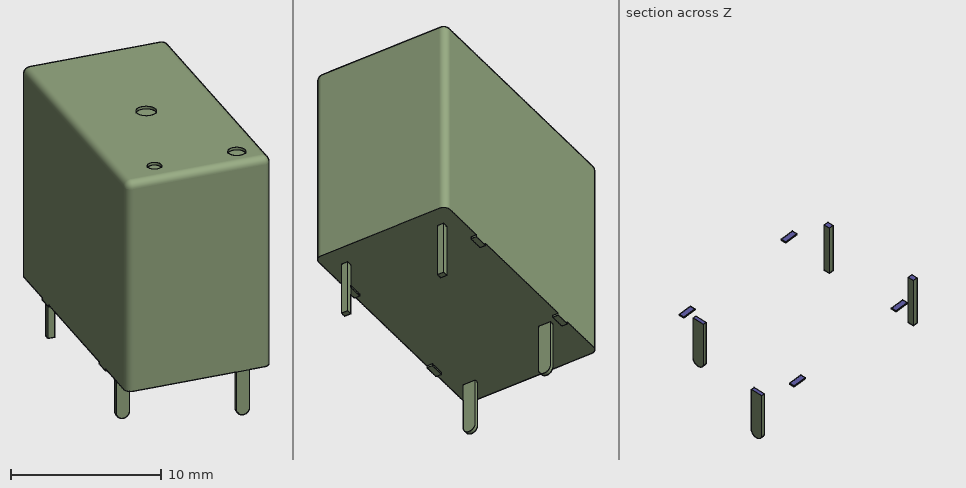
import cadquery as cq


total_height = 19.8
case_length = 18.6
case_width = 10.41
pin_length = 4.15
case_height = total_height - pin_length
edge_radius = 0.51

grid_pitch = 2.53
end_pin_x = 3 * grid_pitch
inner_pin_x = 2 * grid_pitch
pin_row_y = 1.5 * grid_pitch
coil_pin_thickness = 0.4
coil_pin_width = 0.5
blade_thickness = 0.3
blade_width = 0.95

foot_length = 1.13
foot_width = 0.44
foot_height = 0.15
foot_x = 5.0
foot_y = (case_width - foot_width) / 2

mark_depth = 0.2
top_marks = [
    (0, 0, 1.39),
    (7.7, 3.37, 1.2),
    (7.56, -2.5, 0.97),
]


def make_case():
    """Box with rounded upright and top edges and a sharp underside."""
    box = cq.Workplane("XY").box(case_length, case_width, case_height, centered=(True, True, False))
    return box.edges("|Z or >Z").fillet(edge_radius)


def make_mark(x, y, diameter):
    """Cylinder that cuts one blind recess into the top face."""
    top_plane = cq.Workplane("XY", origin=(x, y, case_height))
    return top_plane.circle(diameter / 2).extrude(-mark_depth)


def make_foot(x, y):
    """Low rectangular pad below the case."""
    return cq.Workplane("XY", origin=(x, y, 0)).rect(foot_length, foot_width).extrude(-foot_height)


def make_coil_pin(x, y):
    """Rectangular pin with a flat tip."""
    section = cq.Workplane("XY", origin=(x, y, 0)).rect(coil_pin_thickness, coil_pin_width)
    return section.extrude(-pin_length)


def make_contact_blade(x, y):
    """Flat blade, thin along X, with a full-round tip."""
    half_width = blade_width / 2
    tip_start = half_width - pin_length
    outline = (
        cq.Workplane("YZ", origin=(x, y, 0))
        .moveTo(-half_width, 0)
        .lineTo(-half_width, tip_start)
        .threePointArc((0, -pin_length), (half_width, tip_start))
        .lineTo(half_width, 0)
        .close()
    )
    return outline.extrude(blade_thickness / 2, both=True)


result = make_case()

for mark_x, mark_y, mark_diameter in top_marks:
    result = result.cut(make_mark(mark_x, mark_y, mark_diameter))

for x_side in (-1, 1):
    for y_side in (-1, 1):
        result = result.union(make_foot(x_side * foot_x, y_side * foot_y))

for y_side in (-1, 1):
    result = result.union(make_coil_pin(-end_pin_x, y_side * pin_row_y))

result = result.union(make_contact_blade(inner_pin_x, -pin_row_y))
result = result.union(make_contact_blade(end_pin_x, pin_row_y))